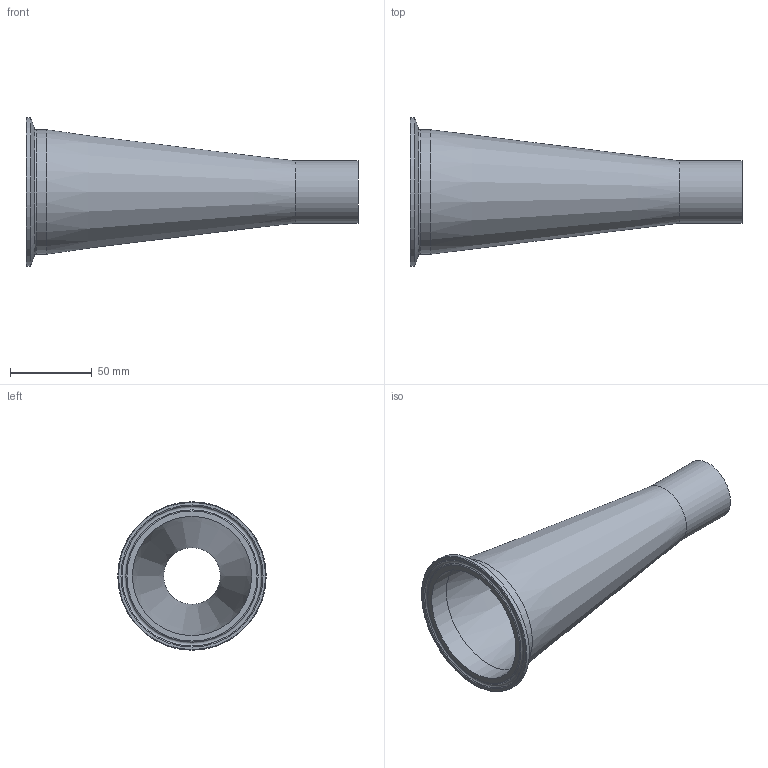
import cadquery as cq
import math

total_length = 203.2
large_end_length = 12.7
small_end_length = 38.1
taper_end = total_length - small_end_length

wall = 1.65
large_radius = 76.2 / 2
small_radius = 38.1 / 2
large_bore_radius = large_radius - wall
small_bore_radius = small_radius - wall

flange_radius = 90.91 / 2
rim_width = 2.8
rim_round = 0.38
back_angle = math.radians(20)
neck_fillet_radius = 1.0

groove_centre_radius = 41.65
groove_half_width = 1.15
groove_lip_radius = 0.8
lip_angle = math.radians(60)
channel_depth = groove_half_width * math.tan(lip_angle / 2)


def flange_back_x(radius):
    """Position along X of the sloped flange back at a given radius."""
    return rim_width + (flange_radius - radius) * math.tan(back_angle)


def revolve_about_axis(profile):
    """Turn a closed profile, drawn as (x, radius), about the X axis."""
    return profile.close().revolve(360, (0, 0, 0), (1, 0, 0))


def make_tube():
    """Hollow reducer: flange, straight neck, taper and small tube end around an open bore."""
    centre_radius = large_radius + neck_fillet_radius
    offset_along_x = neck_fillet_radius / math.cos(back_angle)
    neck_tangent_x = flange_back_x(centre_radius) + offset_along_x
    back_tangent = (
        neck_tangent_x - neck_fillet_radius * math.cos(back_angle),
        centre_radius - neck_fillet_radius * math.sin(back_angle),
    )
    middle_angle = (math.pi / 2 + back_angle) / 2
    fillet_middle = (
        neck_tangent_x - neck_fillet_radius * math.cos(middle_angle),
        centre_radius - neck_fillet_radius * math.sin(middle_angle),
    )
    profile = (
        cq.Workplane("XY")
        .moveTo(0, large_bore_radius)
        .lineTo(0, flange_radius - rim_round)
        .radiusArc((rim_round, flange_radius), rim_round)
        .lineTo(rim_width, flange_radius)
        .lineTo(*back_tangent)
        .threePointArc(fillet_middle, (neck_tangent_x, large_radius))
        .lineTo(large_end_length, large_radius)
        .lineTo(taper_end, small_radius)
        .lineTo(total_length, small_radius)
        .lineTo(total_length, small_bore_radius)
        .lineTo(taper_end, small_bore_radius)
        .lineTo(large_end_length, large_bore_radius)
    )
    return revolve_about_axis(profile)


def make_gasket_groove():
    """Round-bottomed ring channel whose lips roll over tangentially into the flange face."""
    lip_joint_x = groove_lip_radius * (1 - math.cos(lip_angle))
    lip_width = groove_lip_radius * math.sin(lip_angle)
    inner_joint = (lip_joint_x, groove_centre_radius - groove_half_width)
    outer_joint = (lip_joint_x, groove_centre_radius + groove_half_width)
    floor_depth = lip_joint_x + channel_depth
    profile = (
        cq.Workplane("XY")
        .moveTo(0, inner_joint[1] - lip_width)
        .radiusArc(inner_joint, groove_lip_radius)
        .threePointArc((floor_depth, groove_centre_radius), outer_joint)
        .radiusArc((0, outer_joint[1] + lip_width), groove_lip_radius)
    )
    return revolve_about_axis(profile)


result = make_tube().cut(make_gasket_groove())